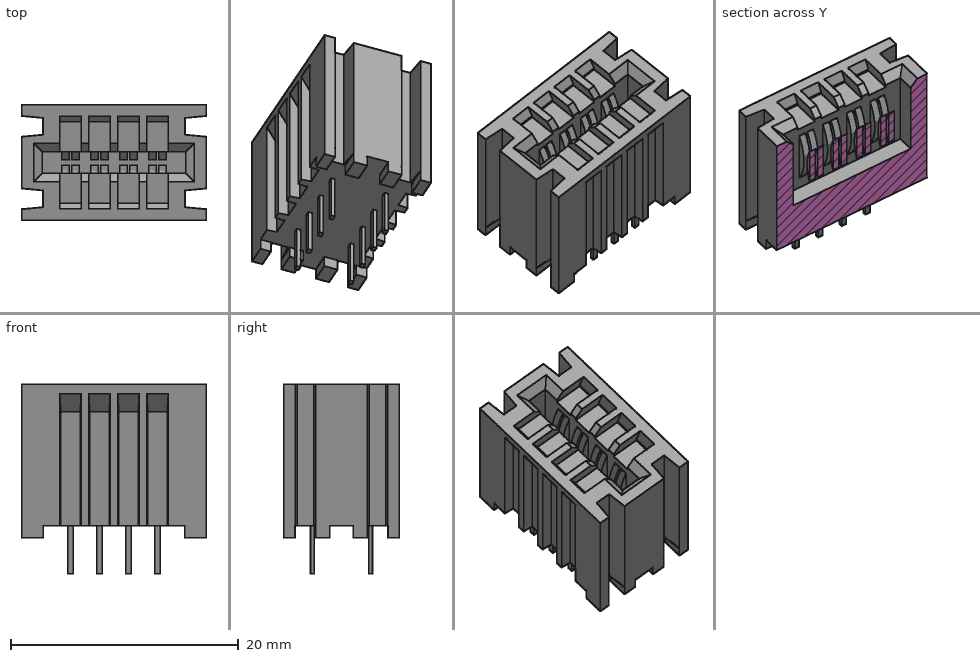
import cadquery as cq
import math

housing_length = 16.22
housing_width = 10.15
housing_height = 12.44
overall_height = 16.65
bottom_z = -housing_height

column_pitch = 2.55
row_offset = 2.55
column_count = 4
columns = [(i - (column_count - 1) / 2) * column_pitch for i in range(column_count)]
sides = (1, -1)

notch_depth = 1.86
notch_center_y = 3.18
notch_mouth_width = 1.8
notch_floor_width = 1.45

foot_length = 1.91
foot_height = 1.05
inner_foot_inner_y = 1.02
inner_foot_outer_y = notch_center_y - notch_mouth_width / 2
outer_foot_inner_y = notch_center_y + notch_mouth_width / 2

card_length = 12.62
card_width = 1.9
card_depth = 8.0
funnel_depth = 0.73

pocket_width = 1.86
pocket_depth = 1.0
pocket_outer_y = 4.05
pocket_slope_drop = 0.83
slope_angle = 60.0

groove_top_z = -0.83
groove_depth = 0.92
groove_floor_width = 1.7
groove_ceiling_drop = groove_depth * math.tan(math.radians(slope_angle))

finger_width = 0.65
finger_gap = 0.22
finger_top_z = -1.83
finger_reach = 0.72
finger_height = 5.0
finger_root_depth = 0.17

pin_width = 0.5
pin_thickness = 0.35


def box(x_range, y_range, z_range):
    """Box spanning the given (start, end) pairs; a pair may run either way."""
    x0, x1 = sorted(x_range)
    y0, y1 = sorted(y_range)
    z0, z1 = sorted(z_range)
    return cq.Workplane("XY").box(x1 - x0, y1 - y0, z1 - z0, centered=False).translate((x0, y0, z0))


def extrude_along_x(yz_points, center_x, width):
    """Prism with a YZ outline, centred on center_x."""
    prism = cq.Workplane("YZ").polyline(yz_points).close().extrude(width / 2, both=True)
    return prism.translate((center_x, 0, 0))


def end_notch(end, side):
    mouth_x = end * housing_length / 2
    floor_x = mouth_x - end * notch_depth
    center_y = side * notch_center_y
    outline = [
        (mouth_x, center_y - notch_mouth_width / 2),
        (mouth_x, center_y + notch_mouth_width / 2),
        (floor_x, center_y + notch_floor_width / 2),
        (floor_x, center_y - notch_floor_width / 2),
    ]
    return cq.Workplane("XY").polyline(outline).close().extrude(bottom_z)


def end_feet(end, side):
    x_range = (end * housing_length / 2, end * (housing_length / 2 - foot_length))
    z_range = (bottom_z, bottom_z - foot_height)
    inner = box(x_range, (side * inner_foot_inner_y, side * inner_foot_outer_y), z_range)
    outer = box(x_range, (side * outer_foot_inner_y, side * housing_width / 2), z_range)
    return inner.union(outer)


def card_slot():
    slot = cq.Workplane("XY").rect(card_length, card_width).extrude(-card_depth)
    funnel = (
        cq.Workplane("XY")
        .rect(card_length + 2 * funnel_depth, card_width + 2 * funnel_depth)
        .workplane(offset=-funnel_depth)
        .rect(card_length, card_width)
        .loft()
    )
    return slot.union(funnel)


def contact_pocket(center_x, side):
    slope_run = pocket_slope_drop / math.tan(math.radians(slope_angle))
    floor_outer_y = pocket_outer_y - slope_run
    outline = [
        (0, 0),
        (side * pocket_outer_y, 0),
        (side * floor_outer_y, -pocket_slope_drop),
        (side * floor_outer_y, -pocket_depth),
        (0, -pocket_depth),
    ]
    return extrude_along_x(outline, center_x, pocket_width)


def wall_groove(center_x, side):
    mouth_y = side * housing_width / 2
    floor_y = mouth_y - side * groove_depth
    drafted_channel = (
        cq.Workplane("XY")
        .polyline([
            (center_x - pocket_width / 2, mouth_y),
            (center_x + pocket_width / 2, mouth_y),
            (center_x + groove_floor_width / 2, floor_y),
            (center_x - groove_floor_width / 2, floor_y),
        ])
        .close()
        .extrude(bottom_z)
    )
    side_outline = [
        (mouth_y, groove_top_z),
        (mouth_y, bottom_z),
        (floor_y, bottom_z),
        (floor_y, groove_top_z - groove_ceiling_drop),
    ]
    return drafted_channel.intersect(extrude_along_x(side_outline, center_x, pocket_width))


def contact_fingers(center_x, side):
    wall_y = side * card_width / 2
    root_y = wall_y + side * finger_root_depth
    tip_y = wall_y - side * finger_reach
    tip_z = finger_top_z - finger_height / 2
    finger_bottom_z = finger_top_z - finger_height
    finger = (
        cq.Workplane("YZ")
        .moveTo(root_y, finger_top_z)
        .lineTo(wall_y, finger_top_z)
        .threePointArc((tip_y, tip_z), (wall_y, finger_bottom_z))
        .lineTo(root_y, finger_bottom_z)
        .close()
        .extrude(finger_width / 2, both=True)
    )
    spread = (finger_width + finger_gap) / 2
    left = finger.translate((center_x - spread, 0, 0))
    right = finger.translate((center_x + spread, 0, 0))
    return left.union(right)


def solder_pin(center_x, side):
    return (
        cq.Workplane("XY")
        .workplane(offset=bottom_z)
        .center(center_x, side * row_offset)
        .rect(pin_width, pin_thickness)
        .extrude(housing_height - overall_height)
    )


result = box(
    (-housing_length / 2, housing_length / 2),
    (-housing_width / 2, housing_width / 2),
    (bottom_z, 0),
).cut(card_slot())

for side in sides:
    for end in sides:
        result = result.cut(end_notch(end, side)).union(end_feet(end, side))
    for x in columns:
        result = result.cut(contact_pocket(x, side)).cut(wall_groove(x, side))
        result = result.union(contact_fingers(x, side)).union(solder_pin(x, side))